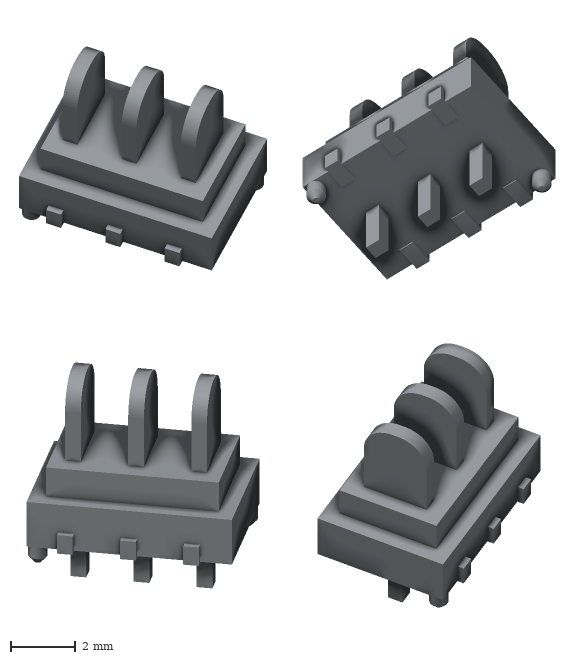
import cadquery as cq

base_bottom = 1.86
base_top = 3.4
step_top = 4.4
blade_top = 7.1

base_length = 6.5
base_width = 4.4
step_length = 5.47
step_width = 3.395

contact_pitch = 1.995
contact_thickness = 0.5
contact_positions = [-contact_pitch, 0, contact_pitch]
blade_width = 2.2
blade_corner_radius = 1.0

tab_span = 4.8
tab_length = 0.895
tab_bottom = 1.81
tab_height = 0.64

peg_diameter = 0.6
peg_tip_diameter = 0.2
peg_bottom = 1.235
peg_cone_height = 0.22


def block(length, width, bottom, top, x=0, y=0):
    """Box centred on (x, y) between two heights."""
    height = top - bottom
    return cq.Workplane("XY").box(length, width, height, centered=(True, True, False)).translate((x, y, bottom))


def blade(x):
    """Upright contact with rounded upper corners, rooted in the base."""
    plate = block(contact_thickness, blade_width, base_top, blade_top, x)
    return plate.edges("|X and >Z").fillet(blade_corner_radius)


def peg(x, y):
    """Round peg whose lower end tapers to a flat tip."""
    radius = peg_diameter / 2
    tip_radius = peg_tip_diameter / 2
    profile = [
        (0, peg_bottom),
        (tip_radius, peg_bottom),
        (radius, peg_bottom + peg_cone_height),
        (radius, base_top),
        (0, base_top),
    ]
    solid = cq.Workplane("XZ").polyline(profile).close().revolve(360, (0, 0, 0), (0, 1, 0))
    return solid.translate((x, y, 0))


result = block(base_length, base_width, base_bottom, base_top)
result = result.union(block(step_length, step_width, base_top, step_top))

tab_y = (tab_span - tab_length) / 2
for contact_x in contact_positions:
    result = result.union(blade(contact_x))
    result = result.union(block(contact_thickness, contact_thickness, 0, base_top, contact_x))
    for side in (-1, 1):
        tab = block(contact_thickness, tab_length, tab_bottom, tab_bottom + tab_height, contact_x, side * tab_y)
        result = result.union(tab)

peg_x = (base_length - peg_diameter) / 2
peg_y = (base_width - peg_diameter) / 2
for side in (-1, 1):
    result = result.union(peg(side * peg_x, side * peg_y))